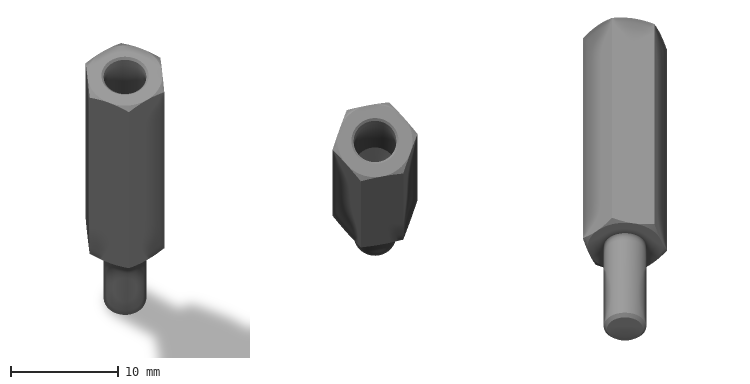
import cadquery as cq
import math

total_length = 35.0
stud_length = 10.0
across_flats = 7.0
stud_diameter = 4.0
stud_chamfer = 0.3
hex_chamfer_angle = 30.0
hole_diameter = 4.0
hole_mouth_diameter = 4.4
hole_depth = 10.0
drill_point_angle = 118.0

hex_length = total_length - stud_length
across_corners = across_flats / math.cos(math.radians(30))
flat_radius = across_flats / 2
corner_radius = across_corners / 2
corner_drop = (corner_radius - flat_radius) * math.tan(math.radians(hex_chamfer_angle))
hole_radius = hole_diameter / 2
mouth_radius = hole_mouth_diameter / 2
mouth_depth = mouth_radius - hole_radius
drill_point_depth = hole_radius / math.tan(math.radians(drill_point_angle / 2))


def revolve_profile(points):
    """Revolve a closed (radius, height) outline about the Z axis."""
    return cq.Workplane("XZ").polyline(points).close().revolve(360, (0, 0), (0, 1))


def make_hex_body():
    """Hexagonal bar with corners along X, turned conically at both ends."""
    bar = cq.Workplane("XY").polygon(6, across_corners).extrude(hex_length)
    turned_envelope = revolve_profile([
        (0, 0),
        (flat_radius, 0),
        (corner_radius, corner_drop),
        (corner_radius, hex_length - corner_drop),
        (flat_radius, hex_length),
        (0, hex_length),
    ])
    return bar.intersect(turned_envelope)


def make_stud():
    """Round stud below the hexagonal body, chamfered at its free end."""
    stud = cq.Workplane("XY").circle(stud_diameter / 2).extrude(-stud_length)
    return stud.faces("<Z").chamfer(stud_chamfer)


def make_hole():
    """Blind hole with a 45 degree countersunk mouth and a drill-point bottom."""
    return revolve_profile([
        (0, hex_length),
        (mouth_radius, hex_length),
        (hole_radius, hex_length - mouth_depth),
        (hole_radius, hex_length - hole_depth),
        (0, hex_length - hole_depth - drill_point_depth),
    ])


result = make_hex_body().union(make_stud()).cut(make_hole())